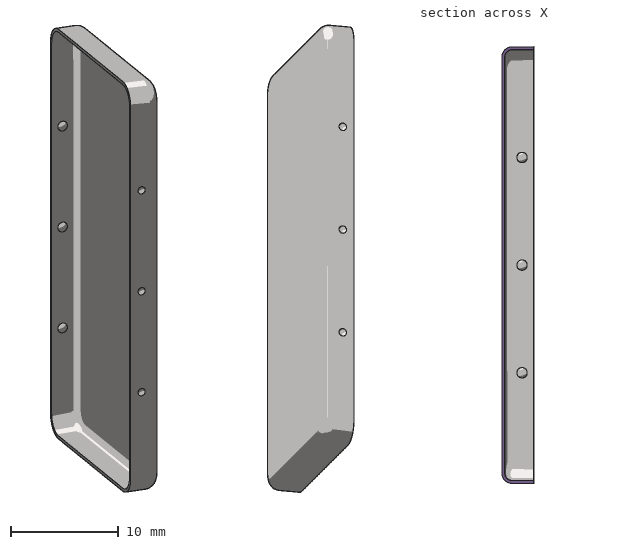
import cadquery as cq

width = 18.9
depth = 3.0
height = 40.6
wall = 0.3

corner_radius = 1.9
floor_edge_radius = 1.0

detent_pitch = 10.0
detent_count = 3
detent_from_rim = 1.1
dimple_diameter = 0.72
dimple_depth = 0.17

dimple_sphere = ((dimple_diameter / 2) ** 2 + dimple_depth**2) / (2 * dimple_depth)
bump_sphere = dimple_sphere + wall


def rounded_block(size_x, size_z, length, corner, floor_edge):
    """Block from the rim plane Y = 0 towards +Y, rounded at its corners and around its +Y face."""
    block = cq.Workplane("XY").box(size_x, length, size_z, centered=(True, False, True))
    return block.edges("|Y").fillet(corner).faces(">Y").edges().fillet(floor_edge)


def make_tray():
    """Rounded shell of constant wall thickness, open on its -Y side."""
    outer = rounded_block(width, height, depth, corner_radius, floor_edge_radius)
    cavity = rounded_block(
        width - 2 * wall,
        height - 2 * wall,
        depth - wall,
        corner_radius - wall,
        floor_edge_radius - wall,
    )
    return outer.cut(cavity)


def dome(sphere_radius, rise, root):
    """Spherical cap along -X: its tip is at X = -rise and its body reaches back to X = root."""
    ball = cq.Workplane("XY").sphere(sphere_radius).translate((sphere_radius - rise, 0, 0))
    slab_side = 2 * sphere_radius
    slab = cq.Workplane("XY").box(rise + root, slab_side, slab_side, centered=(False, True, True))
    return ball.intersect(slab.translate((-rise, 0, 0)))


def place_on_wall(body, side, wall_depth, z):
    """Point a -X body into the tray from the given depth in the side wall (side is -1 or +1)."""
    if side < 0:
        body = body.rotate((0, 0, 0), (0, 0, 1), 180)
    return body.translate((side * (width / 2 - wall_depth), detent_from_rim, z))


def add_detent(tray, side, z):
    """Raise the bump on the inside of a side wall, then press the dimple into its outside."""
    bump = place_on_wall(dome(bump_sphere, dimple_depth, wall / 2), side, wall, z)
    dimple = place_on_wall(dome(dimple_sphere, dimple_depth, wall), side, 0, z)
    return tray.union(bump).cut(dimple)


result = make_tray()
for index in range(detent_count):
    detent_z = (index - (detent_count - 1) / 2) * detent_pitch
    for wall_side in (-1, 1):
        result = add_detent(result, wall_side, detent_z)